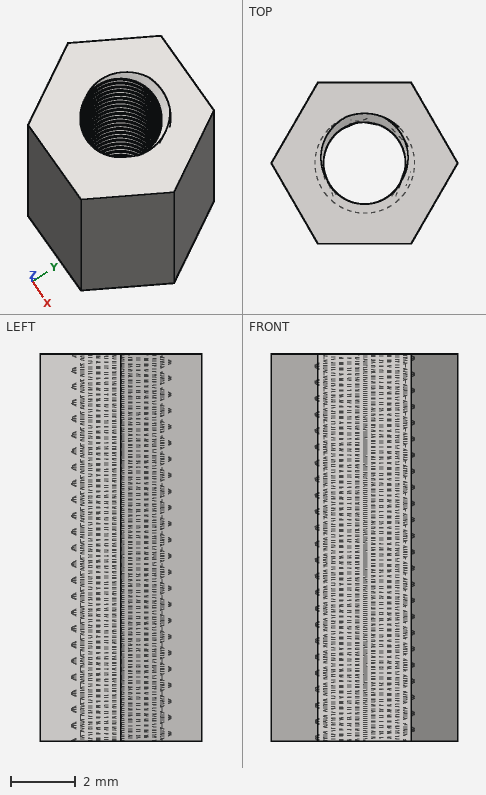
import cadquery as cq
import math

height = 12
across_flats = 5.0
across_corners = across_flats / math.cos(math.radians(30))

bore_radius = 2.53 / 2
root_radius = 3.08 / 2
turns = 24
pitch = height / turns
crest_width = 0.18
root_width = 0.06
groove_start_angle = 90
overlap = 0.04


def hex_body():
    return cq.Workplane("XY").polygon(6, across_corners).extrude(height)


def bore():
    return cq.Workplane("XY").circle(bore_radius).extrude(height)


def thread_groove():
    """Trapezoidal groove swept along a helix one pitch past each end face."""
    root_half = root_width / 2
    mouth_half = (pitch - crest_width) / 2
    flank_slope = (mouth_half - root_half) / (root_radius - bore_radius)
    inner_radius = bore_radius - overlap
    inner_half = mouth_half + overlap * flank_slope

    path = cq.Wire.makeHelix(pitch, height + 2 * pitch, bore_radius)
    groove = (
        cq.Workplane("XZ")
        .polyline([
            (inner_radius, -inner_half),
            (root_radius, -root_half),
            (root_radius, root_half),
            (inner_radius, inner_half),
        ])
        .close()
        .sweep(cq.Workplane(path), isFrenet=True)
    )
    return groove.translate((0, 0, -pitch)).rotate((0, 0, 0), (0, 0, 1), groove_start_angle)


result = hex_body().cut(thread_groove()).cut(bore())